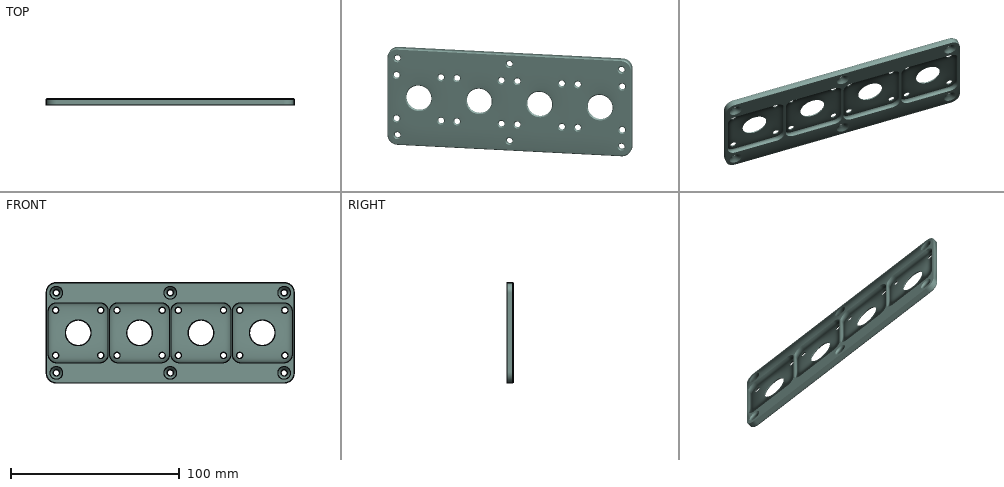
import cadquery as cq

length = 147.2
thickness = 4.0
height = 59.6
corner_radius = 6.0

back_chamfer = 0.6

pocket_count = 4
pocket_size = 35.6
pocket_side_margin = 1.2
pocket_pitch = (length - 2 * pocket_side_margin - pocket_size) / (pocket_count - 1)
pocket_radius = 5.0
pocket_depth = 3.0

window_diameter = 15.0
pocket_hole_diameter = 3.5
pocket_hole_spacing = 26.8
holes_per_side = 2

screw_inset = 6.0
screw_diameter = 3.5
countersink_diameter = 7.5
countersink_angle = 90.0
screw_columns = 3
screw_rows = 2

front_face_y = -thickness / 2
pocket_floor_y = front_face_y + pocket_depth


def front_plane(y):
    """Plane at depth y, drawn in X and Z, with its normal pointing out of the front (-Y)."""
    return cq.Workplane("XZ", origin=(0, y, 0))


def make_plate():
    plate = cq.Workplane("XY").box(length, thickness, height)
    return plate.edges("|Y").fillet(corner_radius)


def cut_pockets(plate):
    pockets = (
        front_plane(pocket_floor_y)
        .rarray(pocket_pitch, pocket_pitch, pocket_count, 1)
        .rect(pocket_size, pocket_size)
        .extrude(pocket_depth)
        .edges("|Y")
        .fillet(pocket_radius)
    )
    return plate.cut(pockets)


def cut_pocket_holes(plate):
    first_center_x = -pocket_pitch * (pocket_count - 1) / 2
    for index in range(pocket_count):
        floor = front_plane(pocket_floor_y).center(first_center_x + index * pocket_pitch, 0)
        plate = plate.cut(floor.circle(window_diameter / 2).extrude(-thickness))
        corner_holes = (
            floor.rarray(pocket_hole_spacing, pocket_hole_spacing, holes_per_side, holes_per_side)
            .circle(pocket_hole_diameter / 2)
            .extrude(-thickness)
        )
        plate = plate.cut(corner_holes)
    return plate


def cut_screw_holes(plate):
    column_spacing = (length - 2 * screw_inset) / (screw_columns - 1)
    row_spacing = (height - 2 * screw_inset) / (screw_rows - 1)
    return (
        plate.copyWorkplane(front_plane(front_face_y))
        .rarray(column_spacing, row_spacing, screw_columns, screw_rows)
        .cskHole(screw_diameter, countersink_diameter, countersink_angle)
    )


def chamfer_back_edges(plate):
    return plate.faces(">Y").edges().chamfer(back_chamfer)


result = make_plate()
result = cut_pockets(result)
result = cut_pocket_holes(result)
result = cut_screw_holes(result)
result = chamfer_back_edges(result)